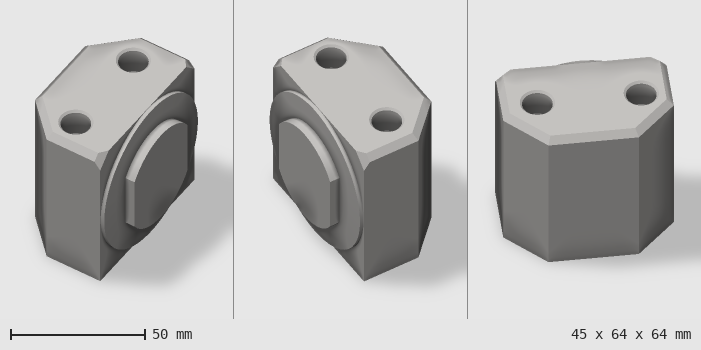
import cadquery as cq
import math

HEIGHT = 64.0
HALF_HEIGHT = HEIGHT / 2
HALF_WIDTH = 32.0
BODY_DEPTH = 38.9
SIDE_BEVEL = 15.05
TOP_CHAMFER = 2.55

CORNER_CUT_LENGTH = 2.55
CORNER_CUT_DROP = 3.2

COVER_RADIUS = 63.5 / 2
COVER_END = 40.5
CONE_END = 40.95
BOSS_RADIUS = 21.45
BOSS_HALF_WIDTH = 18.0
BOSS_END = 45.0

PORT_X = 20.5
OUTLET_Y = 18.5
INLET_Y = -20.5
PORT_RADIUS = 11.45 / 2
PORT_CHAMFER = 0.8
PORT_DEPTH = 11.5
DRILL_POINT_ANGLE = 118.0
OUTLET_RADIUS = 9.0 / 2
SEAT_RADIUS = 2.1
NOZZLE_RADIUS = 2.2 / 2
CORE_RADIUS = 23.2


def make_body():
    nose_half_width = HALF_WIDTH - SIDE_BEVEL
    outline = [
        (0, -nose_half_width),
        (SIDE_BEVEL, -HALF_WIDTH),
        (BODY_DEPTH, -HALF_WIDTH),
        (BODY_DEPTH, HALF_WIDTH),
        (SIDE_BEVEL, HALF_WIDTH),
        (0, nose_half_width),
    ]
    block = (
        cq.Workplane("XY").workplane(offset=-HALF_HEIGHT)
        .polyline(outline).close().extrude(HEIGHT)
    )
    return block.faces(">Z").edges("not >X").chamfer(TOP_CHAMFER)


def corner_cutter(side):
    """Half-space block outside the leaning plane at one rear top corner."""
    cut_plane = cq.Plane(
        origin=(BODY_DEPTH - CORNER_CUT_LENGTH, side * HALF_WIDTH, HALF_HEIGHT - TOP_CHAMFER),
        xDir=(0, -side, 1),
        normal=(CORNER_CUT_DROP / CORNER_CUT_LENGTH, side, 1),
    )
    return cq.Workplane(cut_plane).rect(HALF_WIDTH, HALF_WIDTH).extrude(HALF_WIDTH)


def make_cover():
    """Disc with a shallow cone that rises to the foot of the boss."""
    profile = [
        (BODY_DEPTH, 0),
        (BODY_DEPTH, COVER_RADIUS),
        (COVER_END, COVER_RADIUS),
        (CONE_END, BOSS_RADIUS),
        (CONE_END, 0),
    ]
    return cq.Workplane("XY").polyline(profile).close().revolve(360, (0, 0, 0), (1, 0, 0))


def make_boss():
    length = BOSS_END - BODY_DEPTH
    disc = cq.Workplane("YZ").workplane(offset=BODY_DEPTH).circle(BOSS_RADIUS).extrude(length)
    flats = (
        cq.Workplane("YZ").workplane(offset=BODY_DEPTH)
        .rect(2 * BOSS_HALF_WIDTH, 2 * BOSS_RADIUS).extrude(length)
    )
    return disc.intersect(flats)


def drill_drop(outer_radius, inner_radius):
    """Height of the drill-point cone between two radii."""
    return (outer_radius - inner_radius) / math.tan(math.radians(DRILL_POINT_ANGLE / 2))


def port(center_y, lower_profile):
    """Chamfered bore from the top face, continued by (radius, z) points down to its end."""
    profile = [
        (0, HALF_HEIGHT),
        (PORT_RADIUS + PORT_CHAMFER, HALF_HEIGHT),
        (PORT_RADIUS, HALF_HEIGHT - PORT_CHAMFER),
        (PORT_RADIUS, HALF_HEIGHT - PORT_DEPTH),
        *lower_profile,
        (0, lower_profile[-1][1]),
    ]
    return (
        cq.Workplane("XZ").polyline(profile).close()
        .revolve(360, (0, 0, 0), (0, 1, 0))
        .translate((PORT_X, center_y, 0))
    )


def make_ports():
    port_floor = HALF_HEIGHT - PORT_DEPTH
    outlet = port(OUTLET_Y, [
        (OUTLET_RADIUS, port_floor - drill_drop(PORT_RADIUS, OUTLET_RADIUS)),
        (OUTLET_RADIUS, 0),
    ])
    seat_z = port_floor - drill_drop(PORT_RADIUS, SEAT_RADIUS)
    inlet = port(INLET_Y, [
        (SEAT_RADIUS, seat_z),
        (NOZZLE_RADIUS, seat_z - (SEAT_RADIUS - NOZZLE_RADIUS)),
        (NOZZLE_RADIUS, 0),
    ])
    core = cq.Workplane("YZ").circle(CORE_RADIUS).extrude(BODY_DEPTH)
    return outlet.union(inlet).cut(core)


body = make_body()
for side in (-1, 1):
    body = body.cut(corner_cutter(side))

result = body.union(make_cover()).union(make_boss()).cut(make_ports())